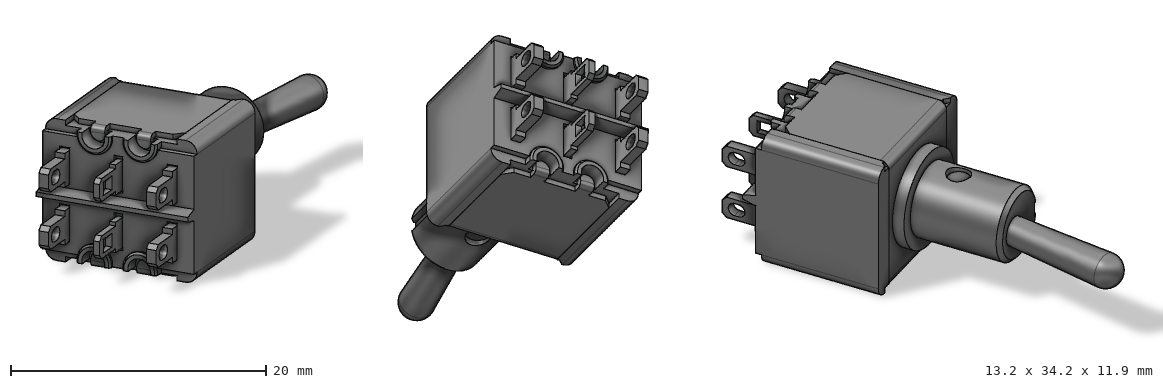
import cadquery as cq
import math


OVERALL_LENGTH = 34.2

CASE_WIDTH = 13.2
CASE_HEIGHT = 11.85
CASE_LENGTH = 10.35
CASE_CORNER_RADIUS = 1.0
BASE_LENGTH = 10.88
BASE_HEIGHT = CASE_HEIGHT - 2 * CASE_CORNER_RADIUS

COVER_WIDTH = 9.7
COVER_THICKNESS = 0.45
COVER_LENGTH = 9.55
COVER_CORNER_CHAMFER = 0.75
COVER_BEND_RADIUS = 0.72
RIM_RELIEF_DEPTH = 0.4
RIM_RELIEF_GAP = 0.25
CHANNEL_FLOOR = CASE_HEIGHT / 2 - COVER_THICKNESS

TAB_SPACING = 4.0
TAB_WIDTH = 1.23
TAB_BEND_Y = -10.02
TAB_LEAN = 12.0
TAB_TIP_Z = 4.62

BOSS_RADIUS = 1.5
BOSS_CHAMFER = 0.17
BOSS_END_Y = -11.25
BOSS_AXIS_Z = 5.27
TROUGH_RADIUS = 1.0
TROUGH_END_Y = -9.92

RIDGE_ROOT_WIDTH = 1.0
RIDGE_TIP_WIDTH = 0.38
RIDGE_END_Y = -12.0

TERMINAL_ROW_SPACING = 4.8
UPPER_ROW_Z = 2.25
TERMINAL_PITCH = 4.7
SLOT_DEPTH = 0.35
SLOT_HEIGHT = 3.05
SLOT_FLOOR_Y = SLOT_DEPTH - BASE_LENGTH
BLADE_HEIGHT = 1.9
BLADE_CHAMFER = 0.38
EYE_Y = -13.35
EYE_LENGTH = 1.47
EYE_HEIGHT = 1.13
OUTER_THICKNESS = 0.85
OUTER_SHOULDER_HEIGHT = 2.85
SLOT_BOTTOM_Z = UPPER_ROW_Z - OUTER_SHOULDER_HEIGHT / 2
OUTER_SHOULDER_Y = -11.7
OUTER_TIP_Y = -14.6
MIDDLE_THICKNESS = 0.55
MIDDLE_SLOT_WIDTH = 0.75
MIDDLE_SHOULDER_HEIGHT = 2.53
MIDDLE_SHOULDER_Y = -11.9
MIDDLE_TIP_Y = -14.78

FLANGE_RADIUS = 4.25
FLANGE_LENGTH = 1.03
BARREL_RADIUS = 3.18
BUSHING_LENGTH = 9.0
BARREL_CHAMFER = 0.38
KEYWAY_WIDTH = 1.15
KEYWAY_DEPTH = 0.6
KEYWAY_STRAIGHT_END_Y = 2.75
DIMPLE_RADIUS = 1.03
DIMPLE_FLOOR_RADIUS = 0.92
DIMPLE_FLOOR_Z = 2.75

PIVOT_Y = 3.63
LEVER_LEAN = 10.0
LEVER_TOP_Y = OVERALL_LENGTH + MIDDLE_TIP_Y
KNOB_RADIUS = 1.47
LEVER_NECK_RADIUS = 1.23


def box(x_min, x_max, y_min, y_max, z_min, z_max):
    """Box between the given limits."""
    return cq.Workplane("XY").box(
        x_max - x_min, y_max - y_min, z_max - z_min, centered=False
    ).translate((x_min, y_min, z_min))


def along_y(radius, y_start, y_end, x=0, z=0):
    """Round bar parallel to Y."""
    return cq.Workplane("XZ", origin=(x, y_start, z)).circle(radius).extrude(y_start - y_end)


def across_x(outline, width, x=0):
    """Extrude a closed YZ outline to a width centred on x."""
    return outline.extrude(width / 2, both=True).translate((x, 0, 0))


def both_sides(upper):
    """An upper feature together with its mirror image below the middle plane."""
    return upper.union(upper.mirror("XY"))


def make_core():
    """Inner volume of the case that the cover wraps around."""
    core = box(
        -COVER_WIDTH / 2, COVER_WIDTH / 2, -CASE_LENGTH, -COVER_THICKNESS, -CHANNEL_FLOOR, CHANNEL_FLOOR
    )
    return core.edges("|X and >Y").fillet(COVER_BEND_RADIUS - COVER_THICKNESS)


def make_channel():
    """Channel for the cover over the top, front and bottom of the case, with relieved rim corners."""
    half_width = COVER_WIDTH / 2
    envelope = box(-half_width, half_width, -CASE_LENGTH, 0, -CASE_HEIGHT / 2, CASE_HEIGHT / 2)
    relief_inner = half_width + RIM_RELIEF_GAP
    relief_outer = relief_inner + RIM_RELIEF_DEPTH
    relief = (
        cq.Workplane("XY", origin=(0, 0, CHANNEL_FLOOR))
        .polyline([
            (-relief_outer, 0),
            (-relief_inner, -RIM_RELIEF_DEPTH),
            (relief_inner, -RIM_RELIEF_DEPTH),
            (relief_outer, 0),
        ])
        .close()
        .extrude(COVER_THICKNESS)
    )
    return envelope.cut(make_core()).union(both_sides(relief))


def make_case():
    """Rounded case with the base plate that carries the terminals."""
    shell = box(
        -CASE_WIDTH / 2, CASE_WIDTH / 2, -CASE_LENGTH, 0, -CASE_HEIGHT / 2, CASE_HEIGHT / 2
    ).edges("|Y").fillet(CASE_CORNER_RADIUS)
    base = box(-CASE_WIDTH / 2, CASE_WIDTH / 2, -BASE_LENGTH, 0, -BASE_HEIGHT / 2, BASE_HEIGHT / 2)
    boss_bridge = box(
        -TAB_SPACING / 2, TAB_SPACING / 2, -BASE_LENGTH, -CASE_LENGTH, -CHANNEL_FLOOR, CHANNEL_FLOOR
    )
    return shell.union(base).cut(make_channel()).union(boss_bridge)


def make_cover():
    """U-shaped sheet around the front of the case, with plain corners cut off at its free ends."""
    sheet = box(
        -COVER_WIDTH / 2, COVER_WIDTH / 2, -COVER_LENGTH, 0, -CASE_HEIGHT / 2, CASE_HEIGHT / 2
    ).edges("|X and >Y").fillet(COVER_BEND_RADIUS)
    return sheet.cut(make_core()).edges("|Z and <Y").chamfer(COVER_CORNER_CHAMFER)


def make_boss(x):
    """Upper boss with a chamfered end, cut flat at the channel floor."""
    boss = along_y(BOSS_RADIUS, BOSS_END_Y, -CASE_LENGTH, x, BOSS_AXIS_Z)
    boss = boss.faces("<Y").chamfer(BOSS_CHAMFER)
    above = box(
        x - BOSS_RADIUS, x + BOSS_RADIUS, BOSS_END_Y, 0, CHANNEL_FLOOR, BOSS_AXIS_Z + BOSS_RADIUS
    )
    return boss.cut(above)


def leaning_y(y_at_floor, z):
    """Y at height z on a plane that leans with the tabs and crosses the channel floor at y_at_floor."""
    return y_at_floor + (CHANNEL_FLOOR - z) * math.tan(math.radians(TAB_LEAN))


def make_trough(x):
    """Round trough along a boss, closed by a leaning end."""
    bottom = BOSS_AXIS_Z - TROUGH_RADIUS
    bar = along_y(TROUGH_RADIUS, BOSS_END_Y, TROUGH_END_Y + TROUGH_RADIUS, x, BOSS_AXIS_Z)
    limit = cq.Workplane("YZ").polyline([
        (BOSS_END_Y, bottom),
        (leaning_y(TROUGH_END_Y, bottom), bottom),
        (TROUGH_END_Y, CHANNEL_FLOOR),
        (BOSS_END_Y, CHANNEL_FLOOR),
    ]).close()
    return bar.intersect(across_x(limit, 2 * TROUGH_RADIUS, x))


def make_tab(x):
    """Strip that leaves the cover, rolls over and leans back to its rounded tip."""
    lean = math.radians(TAB_LEAN)
    roll = COVER_THICKNESS
    half_sweep = math.radians(90 + TAB_LEAN) / 2
    roll_middle = (TAB_BEND_Y - roll * math.sin(half_sweep), CHANNEL_FLOOR + roll * math.cos(half_sweep))
    roll_end = (TAB_BEND_Y - roll * math.cos(lean), CHANNEL_FLOOR - roll * math.sin(lean))
    tip_y = roll_end[0] + (roll_end[1] - TAB_TIP_Z) * math.tan(lean)
    profile = (
        cq.Workplane("YZ")
        .moveTo(-COVER_LENGTH, CASE_HEIGHT / 2)
        .lineTo(TAB_BEND_Y, CASE_HEIGHT / 2)
        .threePointArc(roll_middle, roll_end)
        .lineTo(tip_y, TAB_TIP_Z)
        .lineTo(leaning_y(TROUGH_END_Y, TAB_TIP_Z), TAB_TIP_Z)
        .lineTo(TROUGH_END_Y, CHANNEL_FLOOR)
        .lineTo(-COVER_LENGTH, CHANNEL_FLOOR)
        .close()
    )
    tip_radius = TAB_WIDTH / 2
    shoulder_z = TAB_TIP_Z + tip_radius
    tongue = (
        cq.Workplane("XZ", origin=(x, 0, 0))
        .moveTo(-tip_radius, shoulder_z)
        .threePointArc((0, TAB_TIP_Z), (tip_radius, shoulder_z))
        .lineTo(tip_radius, CASE_HEIGHT / 2)
        .lineTo(-tip_radius, CASE_HEIGHT / 2)
        .close()
        .extrude(CASE_LENGTH + COVER_THICKNESS)
    )
    return across_x(profile, TAB_WIDTH, x).intersect(tongue)


def make_ridge():
    """Tapered ridge across the full width of the base."""
    outline = cq.Workplane("YZ").polyline([
        (-BASE_LENGTH, RIDGE_ROOT_WIDTH / 2),
        (RIDGE_END_Y, RIDGE_TIP_WIDTH / 2),
        (RIDGE_END_Y, -RIDGE_TIP_WIDTH / 2),
        (-BASE_LENGTH, -RIDGE_ROOT_WIDTH / 2),
    ]).close()
    return across_x(outline, CASE_WIDTH)


def both_rows(upper_row):
    """The upper row of a terminal feature together with its copy in the lower row."""
    return upper_row.union(upper_row.translate((0, 0, -TERMINAL_ROW_SPACING)))


def make_terminal(x, thickness, shoulder_height, shoulder_y, tip_y, eye):
    """Upper terminal: wide shoulder, narrow blade with a chamfered tip, and an eye through it."""
    left, right = x - thickness / 2, x + thickness / 2
    low, high = UPPER_ROW_Z - shoulder_height / 2, UPPER_ROW_Z + shoulder_height / 2
    shoulder = box(left, right, shoulder_y, SLOT_FLOOR_Y, low, high)
    low, high = UPPER_ROW_Z - BLADE_HEIGHT / 2, UPPER_ROW_Z + BLADE_HEIGHT / 2
    blade = box(left, right, tip_y, SLOT_FLOOR_Y, low, high)
    blade = blade.edges("|X and <Y").chamfer(BLADE_CHAMFER)
    return shoulder.union(blade).cut(across_x(eye, thickness, x))


def make_terminals():
    """Upper row of three terminals: oval eyes outside, a rectangular one in the middle."""
    rectangular_eye = cq.Workplane("YZ").center(EYE_Y, UPPER_ROW_Z).rect(EYE_LENGTH, EYE_HEIGHT)
    row = make_terminal(
        0, MIDDLE_THICKNESS, MIDDLE_SHOULDER_HEIGHT, MIDDLE_SHOULDER_Y, MIDDLE_TIP_Y, rectangular_eye
    )
    for x in (-TERMINAL_PITCH, TERMINAL_PITCH):
        oval_eye = cq.Workplane("YZ").center(EYE_Y, UPPER_ROW_Z).slot2D(EYE_LENGTH, EYE_HEIGHT)
        row = row.union(make_terminal(
            x, OUTER_THICKNESS, OUTER_SHOULDER_HEIGHT, OUTER_SHOULDER_Y, OUTER_TIP_Y, oval_eye
        ))
    return row


def make_slot(x, width):
    """Upper slot of the base around the root of one terminal."""
    return box(
        x - width / 2, x + width / 2, -BASE_LENGTH, SLOT_FLOOR_Y, SLOT_BOTTOM_Z, SLOT_BOTTOM_Z + SLOT_HEIGHT
    )


def make_slots():
    """Upper row of three terminal slots."""
    row = make_slot(0, MIDDLE_SLOT_WIDTH)
    for x in (-TERMINAL_PITCH, TERMINAL_PITCH):
        row = row.union(make_slot(x, OUTER_THICKNESS))
    return row


def make_keyway():
    """Groove along the -X side of the bushing that runs out on an arc to the case."""
    floor_x = KEYWAY_DEPTH - BARREL_RADIUS
    rise = floor_x + FLANGE_RADIUS
    run = KEYWAY_STRAIGHT_END_Y
    arc_radius = (run**2 + rise**2) / (2 * rise)
    half_angle = math.asin(run / arc_radius) / 2
    arc_middle = (
        floor_x - arc_radius * (1 - math.cos(half_angle)),
        run - arc_radius * math.sin(half_angle),
    )
    return (
        cq.Workplane("XY")
        .moveTo(floor_x, BUSHING_LENGTH)
        .lineTo(floor_x, run)
        .threePointArc(arc_middle, (-FLANGE_RADIUS, 0))
        .lineTo(-FLANGE_RADIUS, BUSHING_LENGTH)
        .close()
        .extrude(KEYWAY_WIDTH / 2, both=True)
    )


def make_dimple():
    """Tapered blind hole in the top of the barrel."""
    return cq.Workplane(cq.Solid.makeCone(
        DIMPLE_FLOOR_RADIUS, DIMPLE_RADIUS, BARREL_RADIUS - DIMPLE_FLOOR_Z,
        cq.Vector(0, PIVOT_Y, DIMPLE_FLOOR_Z), cq.Vector(0, 0, 1),
    ))


def make_bushing():
    """Chamfered barrel on a flange, with a keyway and a dimple above and below."""
    barrel = along_y(BARREL_RADIUS, 0, BUSHING_LENGTH).faces(">Y").chamfer(BARREL_CHAMFER)
    flange = along_y(FLANGE_RADIUS, 0, FLANGE_LENGTH)
    return barrel.union(flange).cut(make_keyway()).cut(both_sides(make_dimple()))


def make_lever():
    """Leaning tapered bat with a ball end, rising from inside the bushing."""
    cos_lean = math.cos(math.radians(LEVER_LEAN))
    knob_reach = (LEVER_TOP_Y - KNOB_RADIUS - PIVOT_Y) / cos_lean
    neck_reach = (BUSHING_LENGTH - PIVOT_Y) / cos_lean
    taper = (KNOB_RADIUS - LEVER_NECK_RADIUS) / (knob_reach - neck_reach)
    pivot_radius = KNOB_RADIUS - taper * knob_reach
    ball_middle = KNOB_RADIUS * math.sqrt(0.5)
    return (
        cq.Workplane("XY")
        .lineTo(-pivot_radius, 0)
        .lineTo(-KNOB_RADIUS, knob_reach)
        .threePointArc((-ball_middle, knob_reach + ball_middle), (0, knob_reach + KNOB_RADIUS))
        .close()
        .revolve(360, (0, 0, 0), (0, 1, 0))
        .rotate((0, 0, 0), (0, 0, 1), -LEVER_LEAN)
        .translate((0, PIVOT_Y, 0))
    )


def make_housing():
    """Plastic case with its bosses, ridge and six terminals as one solid."""
    housing = make_case()
    for x in (-TAB_SPACING / 2, TAB_SPACING / 2):
        housing = housing.union(both_sides(make_boss(x))).cut(both_sides(make_trough(x)))
    housing = housing.union(make_ridge()).cut(both_rows(make_slots()))
    return housing.union(both_rows(make_terminals()))


def make_bracket():
    """Cover with its four locking tabs, the bushing and the lever as one solid."""
    bracket = make_cover()
    for x in (-TAB_SPACING / 2, TAB_SPACING / 2):
        bracket = bracket.union(both_sides(make_tab(x)))
    return bracket.union(make_bushing()).union(make_lever())


housing = make_housing()
bracket = make_bracket()
result = cq.Compound.makeCompound([*housing.vals(), *bracket.vals()])